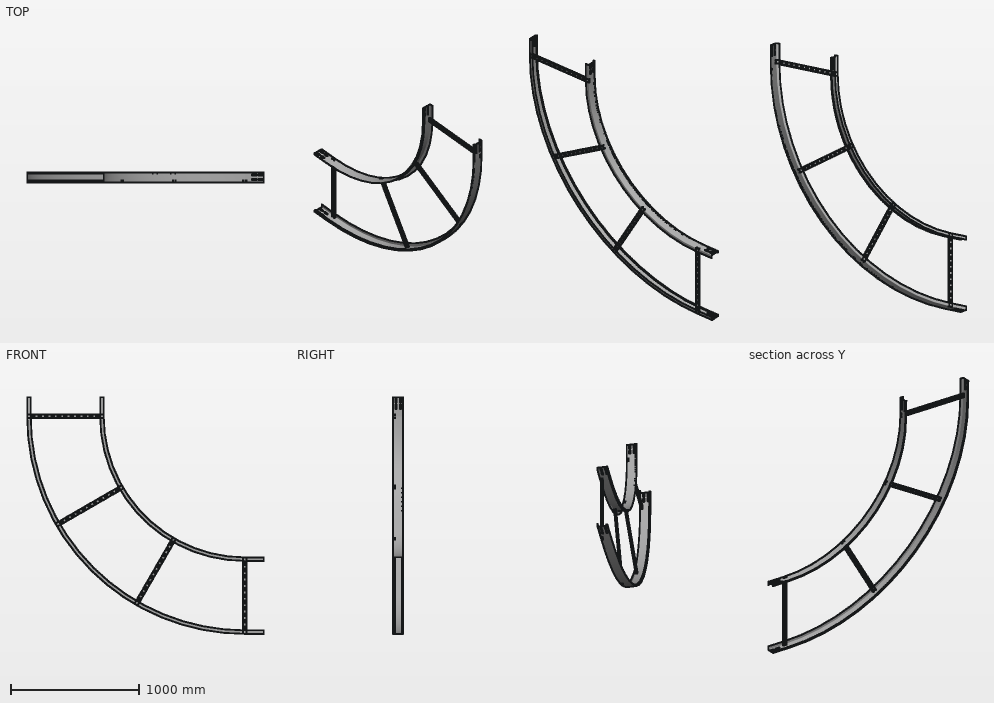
import cadquery as cq
import math

overall_size = 1850.0
rail_height = 80.0
leg_length = 150.0
outer_radius = overall_size - leg_length
ladder_width = 600.0
inner_radius = outer_radius - ladder_width
bend_angle = 90.0

front_flange = 30.0
back_flange = 11.0
back_lip = 11.0
bend_radius = 3.1
rail_thickness = 1.5

slot_length = 35.0
slot_width = 10.0
slot_pitch = 50.0
slot_row_spacing = 35.0
slot_row_offset = 2.8
slot_end_distance = 25.0
slots_per_row = 2

rung_count = 4
rung_width = 30.0
rung_depth = 13.9
rung_thickness = 1.5
rung_mouth = 15.5

rung_slot_count = 11
rung_slot_pitch = 50.0
rung_slot_length = 20.0
rung_slot_width = 7.0

half_height = rail_height / 2


def turn(body, angle):
    """Turn a body about the bend axis, from the +Z leg towards the +X leg."""
    return body.rotate((0, 0, 0), (0, -1, 0), angle)


def rail_section(web_radius, flange_direction):
    """Section at the start of the bend: web, wide front flange and lipped back flange.

    A flange direction of 1 points the flanges to +X from the web, -1 to -X.
    """
    def point(from_web, y):
        return (-web_radius + flange_direction * from_web, y)

    front = -half_height
    back = half_height
    inside_radius = bend_radius - rail_thickness
    diagonal = math.cos(math.radians(45))
    corner_mid = bend_radius - bend_radius * diagonal
    inside_mid = bend_radius - inside_radius * diagonal
    return (
        cq.Workplane("XY")
        .moveTo(*point(front_flange, front))
        .lineTo(*point(bend_radius, front))
        .threePointArc(point(corner_mid, front + corner_mid), point(0, front + bend_radius))
        .lineTo(*point(0, back - bend_radius))
        .threePointArc(point(corner_mid, back - corner_mid), point(bend_radius, back))
        .lineTo(*point(back_flange, back))
        .lineTo(*point(back_flange, back - back_lip))
        .lineTo(*point(back_flange - rail_thickness, back - back_lip))
        .lineTo(*point(back_flange - rail_thickness, back - rail_thickness))
        .lineTo(*point(bend_radius, back - rail_thickness))
        .threePointArc(point(inside_mid, back - inside_mid), point(rail_thickness, back - bend_radius))
        .lineTo(*point(rail_thickness, front + bend_radius))
        .threePointArc(point(inside_mid, front + inside_mid), point(bend_radius, front + rail_thickness))
        .lineTo(*point(front_flange, front + rail_thickness))
        .close()
    )


def leg_slots(web_radius):
    """Cutters for the slots through the web of the +Z leg."""
    first = leg_length - slot_end_distance
    centres = [
        (slot_row_offset + row * slot_row_spacing / 2, first - i * slot_pitch)
        for row in (-1, 1)
        for i in range(slots_per_row)
    ]
    return (
        cq.Workplane("YZ", origin=(-web_radius, 0, 0))
        .pushPoints(centres)
        .slot2D(slot_length, slot_width, 90)
        .extrude(bend_radius, both=True)
    )


def make_rail(web_radius, flange_direction):
    """Side rail: a quarter bend with a slotted straight leg at each end."""
    bend = rail_section(web_radius, flange_direction).revolve(bend_angle, (0, 0), (0, -1))
    slots = leg_slots(web_radius)
    start_leg = rail_section(web_radius, flange_direction).extrude(leg_length).cut(slots)
    end_leg = turn(start_leg.mirror("XY"), bend_angle)
    return bend.union(start_leg, clean=False).union(end_leg, clean=False)


def make_rung(angle):
    """Slotted rung that spans the two webs between the front and back flanges."""
    outer_web_inside = outer_radius - rail_thickness
    outer_end = math.sqrt(outer_web_inside**2 - (rung_width / 2) ** 2)
    inner_end = inner_radius + rail_thickness
    front = -half_height + bend_radius
    back = front + rung_depth
    length = outer_end - inner_end

    def bar(y_min, y_max, width):
        """Rectangular bar along the rung, between two depths."""
        return (
            cq.Workplane("YZ", origin=(-outer_end, 0, 0))
            .center((y_min + y_max) / 2, 0)
            .rect(y_max - y_min, width)
            .extrude(length)
        )

    hollow = bar(front + rung_thickness, back - rung_thickness, rung_width - 2 * rung_thickness)
    mouth = bar(back - rung_thickness, back, rung_mouth)
    channel = bar(front, back, rung_width).cut(hollow).cut(mouth)
    slots = (
        cq.Workplane("XZ", origin=(-(outer_end + inner_end) / 2, front, 0))
        .rarray(rung_slot_pitch, 18, rung_slot_count, 1)
        .rect(rung_slot_length, rung_slot_width)
        .extrude(rung_thickness * 2, both=True)
    )
    return turn(channel.cut(slots), angle)


outer_rail = make_rail(outer_radius, 1)
inner_rail = make_rail(inner_radius, -1)
rungs = [make_rung(i * bend_angle / (rung_count - 1)) for i in range(rung_count)]

result = cq.Compound.makeCompound(
    [outer_rail.val(), inner_rail.val(), *[rung.val() for rung in rungs]]
)